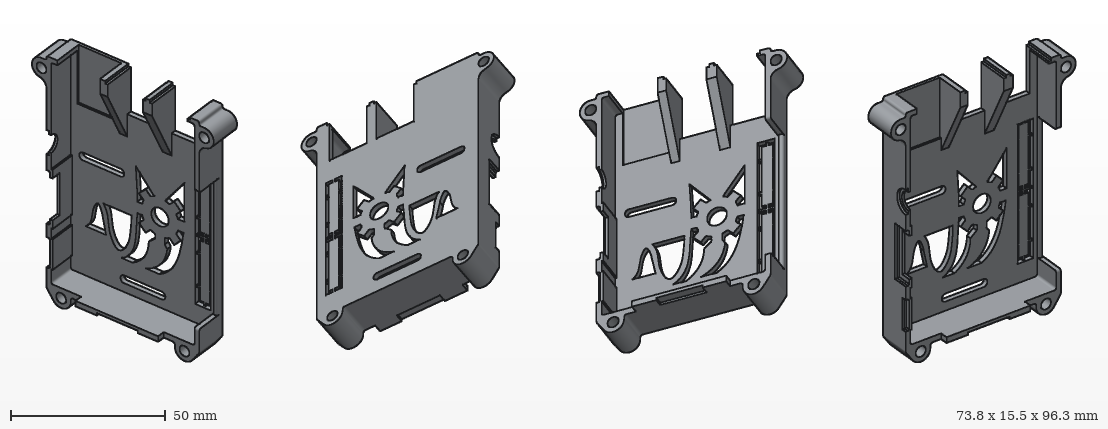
import cadquery as cq
import math


half_width = 31.0
length = 90.6
depth = 12.5
plate_thickness = 2.0
side_wall = 1.9
top_wall = 1.9
bottom_wall = 2.2
cavity_corner_radius = 0.9
top_corner_radius = 0.9
overcut = 1.0

lug_radius = 3.9
lug_hole_diameter = 4.0
upper_lug_x = 32.99
upper_lug_z = 85.05
lower_lug_x = 25.0
lower_lug_z = -1.75
lug_neck_radius = 3.4
lug_shoulder_radius = 0.7
lower_lug_fillet = 1.0
side_end_z = 0.0
side_end_radius = 1.5

usb_width = 14.3
usb_left_starts = (-6.15, 11.85)
usb_bottom_z = 72.3
usb_lip_width = 1.0
usb_lip_height = 1.0
ethernet_left = -26.5
ethernet_right = -9.2
ethernet_bottom_z = 68.05
ethernet_floor_thickness = 1.2
rib_toe_z = 63.55
rib_shoulder_z = 84.8

audio_z = 56.8
audio_diameter = 7.0
audio_recess_diameter = 9.5
audio_recess_depth = 1.0
hdmi_bottom_z = 24.9
hdmi_height = 21.0
hdmi_recess_reach = 5.9
hdmi_hole_bottom_z = 27.2
hdmi_hole_height = 16.4
hdmi_hole_reach = 3.9
hdmi_pad_margin = 1.1
power_bottom_z = 7.8
power_height = 11.9
power_recess_reach = 2.0
plug_recess_depth = 1.4
plug_recess_chamfer = 0.5
pad_thickness = 0.6

header_bottom_z = 8.3
header_top_z = 63.55
header_edge_radius = 0.95

panel_window_left = 21.35
panel_window_width = 6.25
panel_window_bottom_z = 9.5
panel_window_height = 52.8
panel_thickness = 1.0
panel_gap = 1.15
panel_bridge = 0.9

tab_left = -16.9
tab_width = 33.5
tab_height = 3.0
card_recess_width = 16.5
card_recess_depth = 0.9

slot_length = 18.2
slot_width = 3.0
slot_centers = ((-16.55, 48.3), (0.15, 7.15))

gear_x = 7.07
gear_z = 37.5
gear_hole_diameter = 7.0
gear_root_radius = 7.6
gear_tip_radius = 10.1
gear_tooth_width = 3.9
gear_root_fillet = 0.5
gear_tooth_count = 8
gear_axis_tooth_half_width = 2.25
left_tail_x = -2.1
right_ear_x = 16.9
tail_tip_z = 15.1
peak_base_z = 21.5
trough_top_z = 33.35


def box(x0, x1, y0, y1, z0, z1):
    """Axis-aligned box between opposite corners."""
    return cq.Workplane("XY").box(x1 - x0, y1 - y0, z1 - z0, centered=False).translate((x0, y0, z0))


def polar(center, radius, degrees):
    angle = math.radians(degrees)
    return (center[0] + radius * math.cos(angle), center[1] + radius * math.sin(angle))


def direction(start, end):
    return math.degrees(math.atan2(end[1] - start[1], end[0] - start[0]))


def make_outline():
    """Solid block with the outer shape of the case, lugs included."""
    lower_lug = (lower_lug_x, lower_lug_z)
    upper_lug = (upper_lug_x, upper_lug_z)

    fillet_center = (lower_lug_x - lug_radius - lower_lug_fillet, -lower_lug_fillet)

    side_end = (half_width, side_end_z)
    side_distance = math.hypot(half_width - lower_lug_x, side_end_z - lower_lug_z)
    tangent_angle = direction(lower_lug, side_end) - math.degrees(math.acos(lug_radius / side_distance))

    neck_x = half_width + lug_neck_radius
    neck_drop = math.sqrt((lug_radius + lug_neck_radius) ** 2 - (neck_x - upper_lug_x) ** 2)
    neck_center = (neck_x, upper_lug_z - neck_drop)
    neck_angle = direction(neck_center, upper_lug)

    shoulder_z = upper_lug_z + lug_radius
    shoulder_center = (half_width + lug_shoulder_radius, shoulder_z + lug_shoulder_radius)
    corner_center = (half_width - top_corner_radius, length - top_corner_radius)

    half = (
        cq.Workplane("XZ")
        .moveTo(0, 0)
        .lineTo(fillet_center[0], 0)
        .threePointArc(polar(fillet_center, lower_lug_fillet, 45), polar(fillet_center, lower_lug_fillet, 0))
        .lineTo(lower_lug_x - lug_radius, lower_lug_z)
        .threePointArc(polar(lower_lug, lug_radius, -90), polar(lower_lug, lug_radius, tangent_angle))
        .lineTo(*side_end)
        .lineTo(half_width, neck_center[1])
        .threePointArc(
            polar(neck_center, lug_neck_radius, (180 + neck_angle) / 2),
            polar(neck_center, lug_neck_radius, neck_angle),
        )
        .threePointArc(polar(upper_lug, lug_radius, 0), polar(upper_lug, lug_radius, 90))
        .lineTo(shoulder_center[0], shoulder_z)
        .threePointArc(
            polar(shoulder_center, lug_shoulder_radius, 225),
            polar(shoulder_center, lug_shoulder_radius, 180),
        )
        .lineTo(half_width, corner_center[1])
        .threePointArc(polar(corner_center, top_corner_radius, 45), polar(corner_center, top_corner_radius, 90))
        .lineTo(0, length)
    )
    outline = half.mirrorY().extrude(depth)
    for side in (-1, 1):
        corner = cq.selectors.NearestToPointSelector((side * half_width, -depth / 2, side_end_z))
        outline = outline.edges(corner).fillet(side_end_radius)
    return outline


def make_cavity():
    inner = half_width - side_wall
    cavity = box(-inner, inner, -depth - overcut, -plate_thickness, bottom_wall, length - top_wall)
    return cavity.edges("|Y").fillet(cavity_corner_radius)


def make_lug_holes():
    centers = []
    for side in (-1, 1):
        centers.append((side * upper_lug_x, upper_lug_z))
        centers.append((side * lower_lug_x, lower_lug_z))
    return cq.Workplane("XZ").pushPoints(centers).circle(lug_hole_diameter / 2).extrude(depth)


def make_rib(left, right):
    """Divider beside a USB opening, sloping from the rim down to the plate."""
    return (
        cq.Workplane("YZ")
        .polyline([
            (0, rib_toe_z),
            (-plate_thickness, rib_toe_z),
            (-depth, rib_shoulder_z),
            (-depth, length),
            (0, length),
        ])
        .close()
        .extrude(right - left)
        .translate((left, 0, 0))
    )


def make_ribs():
    first_usb, second_usb = usb_left_starts
    return make_rib(ethernet_right, first_usb).union(make_rib(first_usb + usb_width, second_usb))


def make_usb_opening(left):
    """Notch through the plate and rim, with a wider shallow lip at the end face."""
    right = left + usb_width
    notch = box(left, right, -depth - overcut, overcut, usb_bottom_z, length + overcut)
    lip = box(
        left - usb_lip_width, right + usb_lip_width,
        -depth - overcut, overcut,
        length - usb_lip_height, length + overcut,
    )
    return notch.union(lip)


def make_ethernet_opening():
    return box(
        ethernet_left, ethernet_right,
        -depth - overcut, -ethernet_floor_thickness,
        ethernet_bottom_z, length + overcut,
    )


def make_upper_wall_gap():
    """Clears the upper wall between the outer USB edge and the Ethernet opening."""
    right = usb_left_starts[-1] + usb_width
    return box(ethernet_left, right, -depth - overcut, -plate_thickness, length - top_wall, length + overcut)


def make_pad(bottom_z, top_z):
    inner = -half_width + side_wall
    return box(-half_width + plug_recess_depth, inner + pad_thickness, -depth, 0, bottom_z, top_z)


def make_plug_recess(bottom_z, height, reach):
    """Pocket in the outside of the left wall, open at the rim, with a chamfered floor."""
    floor_x = -half_width + plug_recess_depth
    recess = box(
        -half_width - overcut, floor_x,
        -depth - height, -depth + reach,
        bottom_z, bottom_z + height,
    )
    return recess.faces(">X").chamfer(plug_recess_chamfer)


def make_hdmi_hole():
    through_x = -half_width + side_wall + pad_thickness
    return box(
        -half_width, through_x,
        -depth - overcut, -depth + hdmi_hole_reach,
        hdmi_hole_bottom_z, hdmi_hole_bottom_z + hdmi_hole_height,
    )


def make_audio_opening():
    left_face = cq.Workplane("YZ", origin=(-half_width, 0, 0)).center(-depth, audio_z)
    hole = left_face.circle(audio_diameter / 2).extrude(side_wall)
    recess = left_face.circle(audio_recess_diameter / 2).extrude(audio_recess_depth)
    return hole.union(recess)


def make_header_opening():
    """Gap in the right wall down to the plate, rounded where it meets the rim."""
    radius = header_edge_radius
    arc_y = -depth + radius
    lower_center = (arc_y, header_bottom_z)
    upper_center = (arc_y, header_top_z)
    return (
        cq.Workplane("YZ", origin=(half_width - side_wall, 0, 0))
        .moveTo(-plate_thickness, header_bottom_z + radius)
        .lineTo(arc_y, header_bottom_z + radius)
        .threePointArc(polar(lower_center, radius, 135), polar(lower_center, radius, 180))
        .lineTo(-depth, header_top_z)
        .threePointArc(polar(upper_center, radius, 225), polar(upper_center, radius, 270))
        .lineTo(-plate_thickness, header_top_z - radius)
        .close()
        .extrude(side_wall)
    )


def make_header_sill():
    """Half-round bead along the plate edge at the bottom of the header opening."""
    return (
        cq.Workplane("XY", origin=(half_width - side_wall / 2, -plate_thickness, header_bottom_z))
        .circle(side_wall / 2)
        .extrude(header_top_z - header_bottom_z)
    )


def make_panel_openings():
    """Recess leaving a thin skin, and the slits that outline the two break-out panels."""
    left = panel_window_left
    right = left + panel_window_width
    bottom = panel_window_bottom_z
    top = bottom + panel_window_height
    middle_x = (left + right) / 2
    opening = box(left, right, -plate_thickness, -panel_thickness, bottom, top)

    slit_height = (panel_window_height - panel_bridge) / 2
    for slit_bottom in (bottom, top - slit_height):
        slit_top = slit_bottom + slit_height
        slit = box(left, right, -panel_thickness, 0, slit_bottom, slit_top)
        panel = box(
            left + panel_gap, right - panel_gap,
            -panel_thickness, 0,
            slit_bottom + panel_gap, slit_top - panel_gap,
        )
        upright = box(
            middle_x - panel_bridge / 2, middle_x + panel_bridge / 2,
            -panel_thickness, 0,
            slit_bottom, slit_top,
        )
        slit = slit.cut(panel).cut(upright)
        for fraction in (1 / 4, 3 / 4):
            bridge_z = slit_bottom + fraction * slit_height
            slit = slit.cut(box(
                left, right,
                -panel_thickness, 0,
                bridge_z - panel_bridge / 2, bridge_z + panel_bridge / 2,
            ))
        opening = opening.union(slit)
    return opening


def make_tab():
    tab = box(tab_left, tab_left + tab_width, -depth - tab_height, -depth, 0, bottom_wall)
    recess = box(
        -card_recess_width / 2, card_recess_width / 2,
        -depth - tab_height, -depth,
        0, card_recess_depth,
    )
    return tab.cut(recess)


def make_slots():
    return cq.Workplane("XZ").pushPoints(slot_centers).slot2D(slot_length, slot_width).extrude(plate_thickness)


def make_gear():
    gear = cq.Workplane("XZ").circle(gear_root_radius).extrude(plate_thickness)
    tooth = box(0, gear_tip_radius, -plate_thickness, 0, -gear_tooth_width / 2, gear_tooth_width / 2)
    for index in range(gear_tooth_count):
        angle = index * 360 / gear_tooth_count
        gear = gear.union(tooth.rotate((0, 0, 0), (0, 1, 0), angle))
    root_angle = math.degrees(math.asin(gear_tooth_width / 2 / gear_root_radius))
    for index in range(gear_tooth_count):
        for side in (-1, 1):
            x, z = polar((0, 0), gear_root_radius, index * 360 / gear_tooth_count + side * root_angle)
            root = cq.selectors.NearestToPointSelector((x, -plate_thickness / 2, z))
            gear = gear.edges(root).fillet(gear_root_fillet)
    return gear.translate((gear_x, 0, gear_z))


def make_gear_openings():
    """Four openings around the gear: two pointed ears above, two curved tails below."""
    upper_z = gear_z + gear_axis_tooth_half_width
    lower_z = gear_z - gear_axis_tooth_half_width
    sheet = cq.Workplane("XZ")
    left_ear = sheet.polyline([
        (-2.73, 53.3), (4.9, 44.6), (gear_x, gear_z), (gear_x, upper_z), (left_tail_x, upper_z), (-2.2, 44.7),
    ]).close().extrude(plate_thickness)
    right_ear = sheet.polyline([
        (right_ear_x, 54.9), (9.4, 45.1), (gear_x, gear_z), (gear_x, upper_z), (right_ear_x, upper_z),
    ]).close().extrude(plate_thickness)
    left_tail = (
        sheet.moveTo(left_tail_x, lower_z)
        .lineTo(gear_x, lower_z)
        .lineTo(4.95, 28.1)
        .lineTo(2.5, 26.0)
        .spline([(0.45, 19.0), (-3.9, tail_tip_z)], includeCurrent=True)
        .lineTo(-8.5, tail_tip_z)
        .spline([(-4.9, 18.2), (-2.6, 27.0), (left_tail_x, lower_z)], includeCurrent=True)
        .close().extrude(plate_thickness)
    )
    right_tail = (
        sheet.moveTo(16.6, lower_z)
        .lineTo(gear_x, lower_z)
        .lineTo(8.9, 27.8)
        .lineTo(10.05, 26.2)
        .spline([(6.4, 18.1), (1.4, tail_tip_z)], includeCurrent=True)
        .lineTo(6.9, tail_tip_z)
        .spline([(10.9, 18.2), (14.2, 24.1), (16.6, lower_z)], includeCurrent=True)
        .close().extrude(plate_thickness)
    )
    openings = left_ear.union(right_ear).union(left_tail).union(right_tail).cut(make_gear())
    hole = sheet.center(gear_x, gear_z).circle(gear_hole_diameter / 2).extrude(plate_thickness)
    return openings.union(hole)


def make_wave_openings():
    """Narrow peak and wide trough to the left of the gear."""
    sheet = cq.Workplane("XZ")
    peak = (
        sheet.moveTo(-23.0, peak_base_z)
        .lineTo(-14.8, peak_base_z)
        .lineTo(-16.2, 28.1)
        .spline([
            (-16.95, 30.8), (-18.2, 32.4), (-19.3, 31.1),
            (-20.9, 24.4), (-23.0, peak_base_z),
        ], includeCurrent=True)
        .close().extrude(plate_thickness)
    )
    trough = (
        sheet.moveTo(-15.85, trough_top_z)
        .lineTo(-4.5, trough_top_z)
        .lineTo(-4.6, 30.4)
        .spline([
            (-5.0, 26.0), (-6.0, 21.7), (-9.5, 17.7),
            (-12.9, 22.0), (-14.3, 30.0), (-15.85, trough_top_z),
        ], includeCurrent=True)
        .close().extrude(plate_thickness)
    )
    return peak.union(trough)


case = make_outline().cut(make_cavity())
case = case.cut(make_ethernet_opening()).cut(make_upper_wall_gap())
case = case.union(make_ribs())
for usb_left in usb_left_starts:
    case = case.cut(make_usb_opening(usb_left))

case = case.union(make_pad(hdmi_bottom_z - hdmi_pad_margin, hdmi_bottom_z + hdmi_height + hdmi_pad_margin))
case = case.union(make_pad(power_bottom_z, power_bottom_z + power_height))
case = case.cut(make_plug_recess(hdmi_bottom_z, hdmi_height, hdmi_recess_reach)).cut(make_hdmi_hole())
case = case.cut(make_plug_recess(power_bottom_z, power_height, power_recess_reach))
case = case.cut(make_audio_opening())
case = case.cut(make_header_opening()).union(make_header_sill())

case = case.union(make_tab())
case = case.cut(make_lug_holes()).cut(make_slots()).cut(make_panel_openings())
case = case.cut(make_gear_openings()).cut(make_wave_openings())

result = case